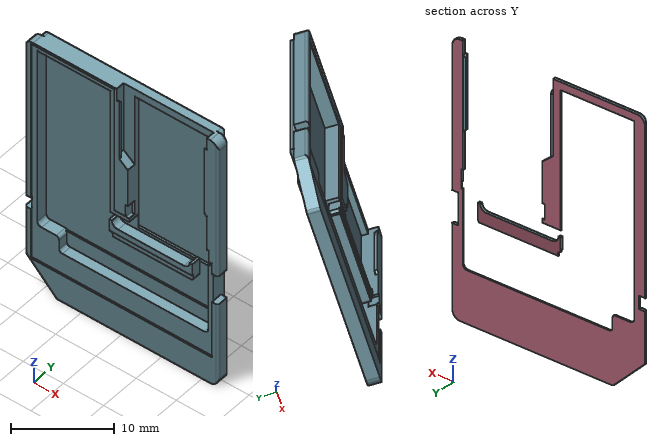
import cadquery as cq


WIDTH = 24.0
HEIGHT = 32.0
THICKNESS = 2.1
FRONT = 0.0
HALF_WIDTH = WIDTH / 2
TOP = HEIGHT / 2
BOTTOM = -TOP
CORNER_RADIUS = 1.0
CORNER_CUT = 4.0
CORNER_CUT_RADIUS = 0.5
LONG_EDGE_RADIUS = 0.3

FLANGE_DEPTH = 1.4
PLATE_INSET = 0.75
PLATE_HALF_WIDTH = HALF_WIDTH - PLATE_INSET
PLATE_CORNER_RADIUS = 0.5
PLATE_STEP_Z = -8.32
PLATE_BOTTOM_Z = -10.3
PLATE_END_SLOPE = 0.22

LEFT_NOTCH_Z = (-6.0, -4.55)
RIGHT_NOTCH_Z = (-5.2, -1.5)

WALL = 0.65
CAVITY_HALF_WIDTH = PLATE_HALF_WIDTH - WALL
CAVITY_TOP_Z = 15.05

RECESS_DEPTH = 0.2
RECESS_TOP_Z = 15.75
RECESS_COLUMN_X = -0.9
RECESS_SHOULDER_Z = -0.15
RECESS_BOTTOM_Z = -12.48

POCKET_DEPTH = 1.6
POCKET_COLUMN_X = -1.5
POCKET_SHOULDER_Z = -0.9
POCKET_BOTTOM_Z = -7.9
POCKET_RADIUS = 0.5
TRAY_DEPTH = FLANGE_DEPTH
TRAY_LEFT_X = -7.9
TRAY_TOP_Z = -8.0
TRAY_BOTTOM_Z = -9.85
TRAY_LEFT_RADIUS = 0.4

SLOT_DEPTH = 1.05
SLOT_LEFT_X = -0.58
SLOT_NECK_X = 0.8
SLOT_TAPER_TOP_Z = 7.23
SLOT_TAPER_BOTTOM_Z = 6.08
WINDOW_DEPTH = 1.73
WINDOW_BOTTOM_Z = -2.37
WINDOW_RAMP = 0.2

LIP_DEPTH = 0.32
LIP_WIDTH = 0.32
LIP_TOP_Z = 14.45
LIP_LEAD_IN = 0.25
RIGHT_LIP_BOTTOM_Z = 5.65

LATCH_TOP_Z = 1.3
LEFT_LATCH_BOTTOM_Z = -0.45
RIGHT_LATCH_BOTTOM_Z = -0.83
LEFT_LATCH_WIDTH = 0.32
RIGHT_LATCH_WIDTH = 0.22

BAR_FRONT_Y = FRONT
BAR_BACK_Y = 1.2
BAR_LEFT_X = -1.5
BAR_RIGHT_X = 8.8
BAR_TOP_Z = -1.7
BAR_BOTTOM_Z = -3.9
BAR_TIP_WIDTH = 0.32
BAR_CRADLE_RADIUS = 0.75
BAR_FOOT_TOP_Z = -3.17
BAR_FOOT_SETBACK = 0.15
BAR_NICK_TOP_Z = -3.33
BAR_NICK_BOTTOM_Z = -3.52
BAR_CORNER_RADIUS = 0.25


def prism(points, front, back):
    """Solid with an XZ outline, reaching from Y = front to Y = back."""
    return cq.Workplane("XZ", origin=(0, front, 0)).polyline(points).close().extrude(front - back)


def block(x_range, z_range, front, back):
    """Box given by its X, Z and Y limits."""
    (left, right), (low, high) = x_range, z_range
    return prism([(left, low), (right, low), (right, high), (left, high)], front, back)


def round_upright_edge(body, x, z, radius):
    """Round the edges that run along Y at (x, z)."""
    reach = 0.003
    near = cq.selectors.BoxSelector((x - reach, -HEIGHT, z - reach), (x + reach, HEIGHT, z + reach))
    return body.edges("|Y").edges(near).fillet(radius)


def make_flange():
    """Front layer: card outline with one cut corner and rounded long front edges."""
    outline = [
        (-HALF_WIDTH, TOP),
        (HALF_WIDTH, TOP),
        (HALF_WIDTH, BOTTOM),
        (-HALF_WIDTH + CORNER_CUT, BOTTOM),
        (-HALF_WIDTH, BOTTOM + CORNER_CUT),
    ]
    flange = prism(outline, FRONT, FLANGE_DEPTH)
    for x, z in outline[:3]:
        flange = round_upright_edge(flange, x, z, CORNER_RADIUS)
    for x, z in outline[3:]:
        flange = round_upright_edge(flange, x, z, CORNER_CUT_RADIUS)
    edged_slab = block((-HALF_WIDTH, HALF_WIDTH), (BOTTOM, TOP), FRONT, FLANGE_DEPTH)
    return flange.intersect(edged_slab.edges("|Z and <Y").fillet(LONG_EDGE_RADIUS))


def plate_section(left, right, bottom):
    """Part of the back plate whose lower end slopes up towards the back."""
    profile = [
        (FLANGE_DEPTH, bottom),
        (THICKNESS, bottom + PLATE_END_SLOPE),
        (THICKNESS, TOP),
        (FLANGE_DEPTH, TOP),
    ]
    return cq.Workplane("YZ", origin=(left, 0, 0)).polyline(profile).close().extrude(right - left)


def make_back_plate():
    """Back layer: follows the stepped lower end of the pocket at a wall's distance."""
    upper = plate_section(-PLATE_HALF_WIDTH, PLATE_HALF_WIDTH, PLATE_STEP_Z)
    lower = plate_section(TRAY_LEFT_X - WALL, PLATE_HALF_WIDTH, PLATE_BOTTOM_Z)
    sides = (-PLATE_HALF_WIDTH, PLATE_HALF_WIDTH)
    rounded_sides = block(sides, (BOTTOM, TOP), FLANGE_DEPTH, THICKNESS)
    rounded_sides = rounded_sides.edges("|Z and >Y").fillet(LONG_EDGE_RADIUS)
    rounded_top = block(sides, (BOTTOM, TOP), FLANGE_DEPTH, THICKNESS)
    rounded_top = rounded_top.edges("|Y and >Z").fillet(PLATE_CORNER_RADIUS)
    return upper.union(lower).intersect(rounded_sides).intersect(rounded_top)


def side_notches():
    """Notches that cut the flange sides back to the plate."""
    left = block((-HALF_WIDTH, -PLATE_HALF_WIDTH), LEFT_NOTCH_Z, FRONT, FLANGE_DEPTH)
    right = block((PLATE_HALF_WIDTH, HALF_WIDTH), RIGHT_NOTCH_Z, FRONT, FLANGE_DEPTH)
    return left.union(right)


def label_recess():
    """L-shaped shallow recess: a left column and a full-width lower field."""
    column_height = (RECESS_BOTTOM_Z, RECESS_TOP_Z)
    column = block((-PLATE_HALF_WIDTH, RECESS_COLUMN_X), column_height, FRONT, RECESS_DEPTH)
    field_height = (RECESS_BOTTOM_Z, RECESS_SHOULDER_Z)
    field = block((-PLATE_HALF_WIDTH, PLATE_HALF_WIDTH), field_height, FRONT, RECESS_DEPTH)
    return column.union(field)


def contact_pocket():
    """L-shaped pocket with a slightly shallower tray along its lower end."""
    outline = [
        (-CAVITY_HALF_WIDTH, CAVITY_TOP_Z),
        (POCKET_COLUMN_X, CAVITY_TOP_Z),
        (POCKET_COLUMN_X, POCKET_SHOULDER_Z),
        (CAVITY_HALF_WIDTH, POCKET_SHOULDER_Z),
        (CAVITY_HALF_WIDTH, TRAY_BOTTOM_Z),
        (TRAY_LEFT_X, TRAY_BOTTOM_Z),
        (TRAY_LEFT_X, POCKET_BOTTOM_Z),
        (-CAVITY_HALF_WIDTH, POCKET_BOTTOM_Z),
    ]
    pocket = prism(outline, FRONT, POCKET_DEPTH)
    pocket = round_upright_edge(pocket, -CAVITY_HALF_WIDTH, POCKET_BOTTOM_Z, POCKET_RADIUS)
    pocket = round_upright_edge(pocket, CAVITY_HALF_WIDTH, TRAY_BOTTOM_Z, POCKET_RADIUS)
    for z in (TRAY_BOTTOM_Z, POCKET_BOTTOM_Z):
        pocket = round_upright_edge(pocket, TRAY_LEFT_X, z, TRAY_LEFT_RADIUS)
    cavity_sides = (-CAVITY_HALF_WIDTH, CAVITY_HALF_WIDTH)
    raised_floor = block(cavity_sides, (BOTTOM, TRAY_TOP_Z), TRAY_DEPTH, POCKET_DEPTH)
    return pocket.cut(raised_floor)


def card_slot():
    """Slot floor with its tapered left side, and retaining lips with a lead-in chamfer in front."""
    lip_left_x = SLOT_LEFT_X + LIP_WIDTH
    lip_right_x = CAVITY_HALF_WIDTH - LIP_WIDTH
    slot = prism(
        [
            (SLOT_LEFT_X, TOP),
            (CAVITY_HALF_WIDTH, TOP),
            (CAVITY_HALF_WIDTH, POCKET_SHOULDER_Z),
            (SLOT_NECK_X, POCKET_SHOULDER_Z),
            (SLOT_NECK_X, SLOT_TAPER_BOTTOM_Z),
            (SLOT_LEFT_X, SLOT_TAPER_TOP_Z),
        ],
        FRONT,
        SLOT_DEPTH,
    )
    left_lip = prism(
        [
            (SLOT_LEFT_X, LIP_TOP_Z),
            (lip_left_x, LIP_TOP_Z),
            (lip_left_x, SLOT_TAPER_BOTTOM_Z),
            (SLOT_LEFT_X, SLOT_TAPER_BOTTOM_Z),
        ],
        FRONT,
        LIP_DEPTH,
    )
    right_lip = prism(
        [
            (CAVITY_HALF_WIDTH, LIP_TOP_Z),
            (lip_right_x, LIP_TOP_Z),
            (lip_right_x, RIGHT_LIP_BOTTOM_Z + LIP_WIDTH),
            (CAVITY_HALF_WIDTH, RIGHT_LIP_BOTTOM_Z),
        ],
        FRONT,
        LIP_DEPTH,
    )
    for lip in (left_lip, right_lip):
        slot = slot.cut(lip.faces(">Z").edges(">Y").chamfer(LIP_LEAD_IN))
    return slot


def slot_window():
    """Deeper floor under the card, with a ramp up to the pocket floor at its lower end."""
    profile = [
        (SLOT_DEPTH, CAVITY_TOP_Z),
        (WINDOW_DEPTH, CAVITY_TOP_Z),
        (WINDOW_DEPTH, WINDOW_BOTTOM_Z),
        (POCKET_DEPTH, WINDOW_BOTTOM_Z - WINDOW_RAMP),
        (SLOT_DEPTH, WINDOW_BOTTOM_Z - WINDOW_RAMP),
    ]
    length = CAVITY_HALF_WIDTH - SLOT_NECK_X
    return cq.Workplane("YZ", origin=(SLOT_NECK_X, 0, 0)).polyline(profile).close().extrude(length)


def latch_notches():
    """Small notches in both slot walls, rounded at their lower outer corners."""
    left_x = SLOT_NECK_X - LEFT_LATCH_WIDTH
    right_x = CAVITY_HALF_WIDTH + RIGHT_LATCH_WIDTH
    left = block((left_x, SLOT_NECK_X), (LEFT_LATCH_BOTTOM_Z, LATCH_TOP_Z), FRONT, SLOT_DEPTH)
    left = round_upright_edge(left, left_x, LEFT_LATCH_BOTTOM_Z, LEFT_LATCH_WIDTH / 2)
    right = block((CAVITY_HALF_WIDTH, right_x), (RIGHT_LATCH_BOTTOM_Z, LATCH_TOP_Z), FRONT, SLOT_DEPTH)
    right = round_upright_edge(right, right_x, RIGHT_LATCH_BOTTOM_Z, RIGHT_LATCH_WIDTH / 2)
    return left.union(right)


def make_housing():
    """Flange and back plate in one piece, with all recesses cut from the front."""
    housing = make_flange().union(make_back_plate())
    cuts = [
        side_notches(),
        label_recess(),
        contact_pocket(),
        card_slot(),
        slot_window(),
        latch_notches(),
    ]
    for cut in cuts:
        housing = housing.cut(cut)
    return housing


def make_stop_bar():
    """Bar flush with the front face: a cradle between two tips above, a set-back foot below."""
    body = block((BAR_LEFT_X, BAR_RIGHT_X), (BAR_FOOT_TOP_Z, BAR_TOP_Z), BAR_FRONT_Y, BAR_BACK_Y)
    cradle_left = BAR_LEFT_X + BAR_TIP_WIDTH
    foot_front = BAR_FRONT_Y + BAR_FOOT_SETBACK
    foot_outline = [
        (BAR_LEFT_X, BAR_FOOT_TOP_Z),
        (BAR_RIGHT_X, BAR_FOOT_TOP_Z),
        (BAR_RIGHT_X, BAR_BOTTOM_Z),
        (cradle_left, BAR_BOTTOM_Z),
        (cradle_left, BAR_NICK_BOTTOM_Z),
        (BAR_LEFT_X, BAR_NICK_TOP_Z),
    ]
    foot = prism(foot_outline, foot_front, BAR_BACK_Y)
    foot = round_upright_edge(foot, BAR_RIGHT_X, BAR_BOTTOM_Z, BAR_CORNER_RADIUS)
    cradle_right = BAR_RIGHT_X - BAR_TIP_WIDTH
    cradle = (
        cq.Workplane("XZ", origin=(0, BAR_FRONT_Y, 0))
        .moveTo(cradle_left, BAR_TOP_Z)
        .radiusArc((cradle_left + BAR_CRADLE_RADIUS, BAR_TOP_Z - BAR_CRADLE_RADIUS), -BAR_CRADLE_RADIUS)
        .lineTo(cradle_right - BAR_CRADLE_RADIUS, BAR_TOP_Z - BAR_CRADLE_RADIUS)
        .radiusArc((cradle_right, BAR_TOP_Z), -BAR_CRADLE_RADIUS)
        .close()
        .extrude(BAR_FRONT_Y - BAR_BACK_Y)
    )
    return body.union(foot).cut(cradle)


housing = make_housing()
stop_bar = make_stop_bar()

result = cq.Compound.makeCompound([housing.val(), stop_bar.val()])